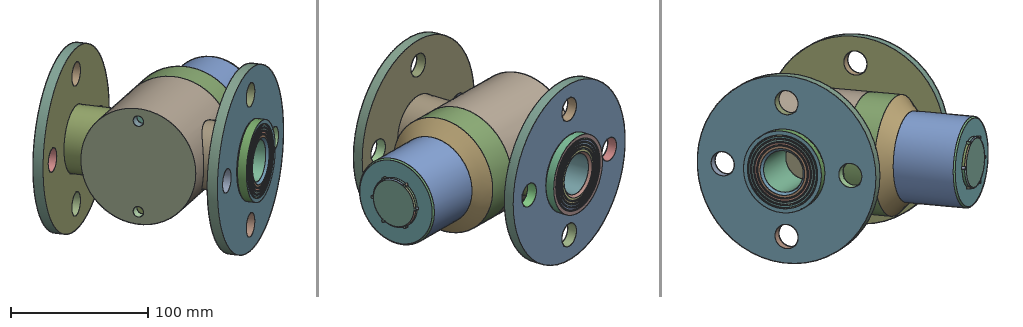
import cadquery as cq


FLANGE_DIAMETER = 140.0
FLANGE_THICKNESS = 8.0
FLANGE_BORE = 51.5
BOLT_HOLE_DIAMETER = 18.0
BOLT_CIRCLE_DIAMETER = 100.0
BOLT_COUNT = 4

OVERALL_LENGTH_X = 159.0
COLLAR_DIAMETER = 61.0
COLLAR_THICKNESS = 8.0
COLLAR_CHAMFER = 1.1
PIPE_DIAMETER = 51.0
PIPE_BORE = 31.0
BORE_CHAMFER = 1.9
GROOVE_DIAMETERS = [(55.0, 53.0), (50.2, 48.3), (45.3, 43.5), (40.5, 38.7)]
GROOVE_DEPTH = 0.4
SOCKET_FLOOR_X = 34.1

BODY_DIAMETER = 89.0
OVERALL_LENGTH_Y = 189.5
KNOB_TOP_Y = OVERALL_LENGTH_Y - FLANGE_DIAMETER / 2
HOUSING_FRONT_Y = -42.0
HOUSING_BACK_Y = 34.0
FRONT_HOLE_DIAMETER = 8.0
FRONT_HOLE_DEPTH = FRONT_HOLE_DIAMETER
FRONT_HOLE_OFFSET = 34.9

SHOULDER_Y = 57.8
NECK_Y = 68.5
NECK_DIAMETER = 67.0
BONNET_TOP_Y = 116.5
BONNET_CHAMFER = 1.1

KNOB_DIAMETER = 38.0
KNOB_CHAMFER = 1.0
LOBE_SPAN = 40.5
LOBE_DIAMETER = 2.3
LOBE_COUNT = 6

COLLAR_FACE_X = OVERALL_LENGTH_X / 2
FLANGE_FACE_X = COLLAR_FACE_X - COLLAR_THICKNESS
SIDES = (-1, 1)


def x_cylinder(diameter, start_x, end_x):
    """Round bar along X between two positions."""
    return cq.Workplane("YZ").workplane(offset=start_x).circle(diameter / 2).extrude(end_x - start_x)


def y_cylinder(diameter, start_y, end_y):
    """Round bar along Y between two positions."""
    return cq.Workplane("XZ").workplane(offset=-end_y).circle(diameter / 2).extrude(end_y - start_y)


def on_side(body, side):
    """Leave a body on the +X side, or turn it half a turn about Y onto the -X side."""
    return body if side > 0 else body.rotate((0, 0, 0), (0, 1, 0), 180)


def make_flange():
    """Ring on the +X side, with evenly spaced bolt holes."""
    flange = x_cylinder(FLANGE_DIAMETER, FLANGE_FACE_X - FLANGE_THICKNESS, FLANGE_FACE_X)
    return (
        flange.faces(">X").workplane(origin=(0, 0, 0)).hole(FLANGE_BORE)
        .faces(">X").workplane(origin=(0, 0, 0))
        .polarArray(BOLT_CIRCLE_DIAMETER / 2, 0, 360, BOLT_COUNT).hole(BOLT_HOLE_DIAMETER)
    )


def make_pipe_stub():
    """Bored pipe on the +X side, ending in a collar with concentric face grooves."""
    collar = x_cylinder(COLLAR_DIAMETER, FLANGE_FACE_X, COLLAR_FACE_X)
    collar = collar.faces("<X").chamfer(COLLAR_CHAMFER)
    stub = collar.union(x_cylinder(PIPE_DIAMETER, SOCKET_FLOOR_X, FLANGE_FACE_X))
    stub = stub.cut(x_cylinder(PIPE_BORE, SOCKET_FLOOR_X, COLLAR_FACE_X))
    bore_mouth = stub.faces(">X").edges(cq.selectors.RadiusNthSelector(0))
    stub = bore_mouth.chamfer(BORE_CHAMFER)
    for outer, inner in GROOVE_DIAMETERS:
        ring = cq.Workplane("YZ").workplane(offset=COLLAR_FACE_X).circle(outer / 2).circle(inner / 2)
        stub = stub.cut(ring.extrude(-GROOVE_DEPTH))
    return stub


def make_housing():
    """Round block with a pipe socket on each side and two blind holes in its front face."""
    housing = y_cylinder(BODY_DIAMETER, HOUSING_FRONT_Y, HOUSING_BACK_Y)
    for side in SIDES:
        housing = housing.cut(on_side(x_cylinder(PIPE_DIAMETER, SOCKET_FLOOR_X, BODY_DIAMETER), side))
        front_hole = y_cylinder(FRONT_HOLE_DIAMETER, HOUSING_FRONT_Y, HOUSING_FRONT_Y + FRONT_HOLE_DEPTH)
        housing = housing.cut(front_hole.translate((0, 0, side * FRONT_HOLE_OFFSET)))
    return housing


def make_bonnet():
    """Cover that continues the housing and tapers to a narrower neck."""
    profile = (
        cq.Workplane("XY")
        .moveTo(0, HOUSING_BACK_Y)
        .lineTo(BODY_DIAMETER / 2, HOUSING_BACK_Y)
        .lineTo(BODY_DIAMETER / 2, SHOULDER_Y)
        .lineTo(NECK_DIAMETER / 2, NECK_Y)
        .lineTo(NECK_DIAMETER / 2, BONNET_TOP_Y)
        .lineTo(0, BONNET_TOP_Y)
        .close()
    )
    bonnet = profile.revolve(360, (0, 0, 0), (0, 1, 0))
    return bonnet.faces(">Y").chamfer(BONNET_CHAMFER)


def make_knob():
    """Low chamfered disc with round lobes evenly spaced around it."""
    knob = y_cylinder(KNOB_DIAMETER, BONNET_TOP_Y, KNOB_TOP_Y).faces(">Y").chamfer(KNOB_CHAMFER)
    lobe = y_cylinder(LOBE_DIAMETER, BONNET_TOP_Y, KNOB_TOP_Y)
    lobe = lobe.translate(((LOBE_SPAN - LOBE_DIAMETER) / 2, 0, 0))
    for index in range(LOBE_COUNT):
        knob = knob.union(lobe.rotate((0, 0, 0), (0, 1, 0), index * 360 / LOBE_COUNT))
    return knob


housing = make_housing()
bonnet = make_bonnet()
knob = make_knob()
pipe_stubs = [on_side(make_pipe_stub(), side) for side in SIDES]
flanges = [on_side(make_flange(), side) for side in SIDES]

result = cq.Compound.makeCompound(
    [
        housing.val(),
        bonnet.val(),
        knob.val(),
        *[stub.val() for stub in pipe_stubs],
        *[flange.val() for flange in flanges],
    ]
)